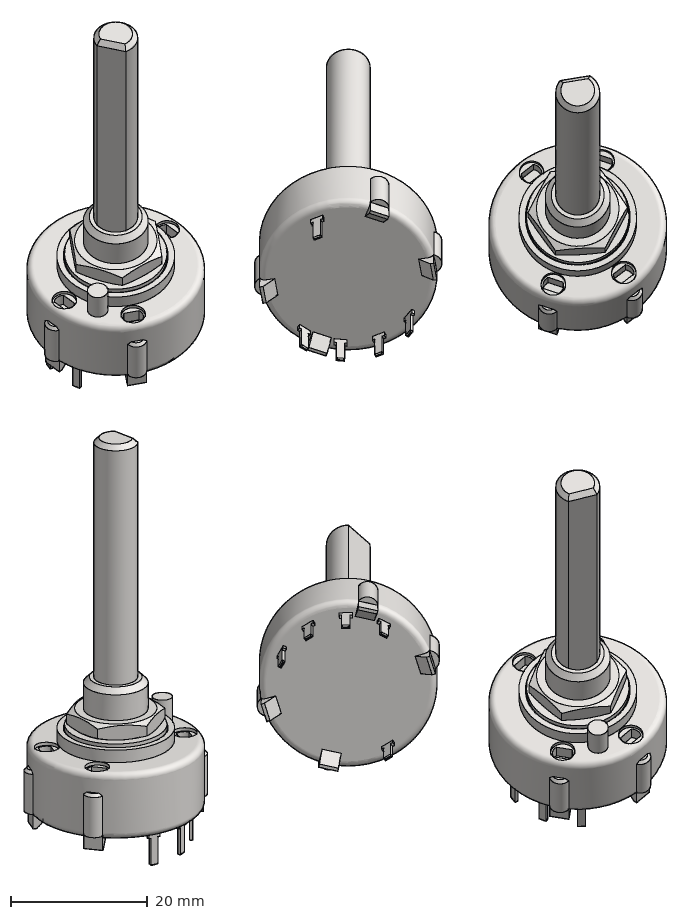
import cadquery as cq
import math


housing_diameter = 26.0
housing_height = 10.45
housing_edge_radius = 1.0
boss_diameter = 17.2
boss_height = 2.0

bushing_diameter = 9.5
bushing_height = 10.0
bushing_chamfer = 0.9

washer_diameter = 15.0
washer_rise = 0.5
washer_recess_diameter = 15.3
washer_recess_depth = 0.25
nut_across_flats = 12.65
nut_thickness = 2.55
nut_turn = -6.6
nut_chamfer_diameter = 12.05
nut_chamfer_height = 0.5

peg_diameter = 3.0
peg_height = 4.0
peg_distance = 9.65

clip_angles = [60, 120, 240, 300]
clip_hole_diameter = 3.6
clip_hole_distance = 10.45
clip_hole_depth = 0.5
clip_slot_end_diameter = 3.0
clip_slot_width = 1.9
clip_slot_depth = 1.9
rib_diameter = 3.2
rib_distance = 12.25
rib_bottom = 0.6
rib_top = 7.4
rib_chamfer = 0.45
leg_width = 2.9
leg_outer_distance = 12.9
leg_length = 1.7
leg_tip_thickness = 0.5
leg_root_thickness = leg_tip_thickness + leg_length + rib_bottom

terminal_angles = [15, 165, 195, 225, 255]
terminal_distance = 11.05
terminal_length = 5.35
terminal_width = 1.2
terminal_thickness = 0.5
terminal_tip_chamfer = 0.2
shoulder_width = 1.9
shoulder_length = 0.95

overall_height = 63.8
shaft_diameter = 6.45
shaft_flat_distance = 2.35
shaft_chamfer = 0.75

boss_top = housing_height + boss_height
washer_top = boss_top + washer_rise
bushing_top = housing_height + bushing_height
shaft_top = overall_height - terminal_length


def cylinder(diameter, bottom, top):
    return cq.Workplane("XY").workplane(offset=bottom).circle(diameter / 2).extrude(top - bottom)


def placed_around(shape, angle):
    """Turn a shape built on the +X side to its angle around the shaft axis."""
    return shape.rotate((0, 0, 0), (0, 0, 1), angle)


def make_case():
    case = cylinder(housing_diameter, 0, housing_height).edges().fillet(housing_edge_radius)
    boss = cylinder(boss_diameter, housing_height - housing_edge_radius, boss_top)
    recess = cylinder(washer_recess_diameter, boss_top - washer_recess_depth, boss_top)
    return case.union(boss).cut(recess)


def make_bushing():
    bushing = cylinder(bushing_diameter, housing_height, bushing_top)
    return bushing.faces(">Z").chamfer(bushing_chamfer)


def make_washer():
    return cylinder(washer_diameter, boss_top - washer_recess_depth, washer_top)


def make_nut():
    corner_diameter = nut_across_flats / math.cos(math.pi / 6)
    hexagon = (
        cq.Workplane("XY")
        .workplane(offset=washer_top)
        .polygon(6, corner_diameter)
        .extrude(nut_thickness)
        .rotate((0, 0, 0), (0, 0, 1), nut_turn)
    )
    corner_chamfer = (corner_diameter - nut_chamfer_diameter) / 2
    envelope = (
        cylinder(corner_diameter, washer_top, washer_top + nut_thickness)
        .edges()
        .chamfer(nut_chamfer_height, corner_chamfer)
    )
    return hexagon.intersect(envelope)


def make_peg():
    peg = cylinder(peg_diameter, housing_height - housing_edge_radius, housing_height + peg_height)
    return peg.translate((0, -peg_distance, 0))


def make_rib():
    rib = cylinder(rib_diameter, rib_bottom, rib_top).faces(">Z").chamfer(rib_chamfer)
    return rib.translate((rib_distance, 0, 0))


def make_leg():
    """Leg below the rib, its inner side sloping out to a thin tip."""
    return (
        cq.Workplane("XZ")
        .moveTo(leg_outer_distance, rib_bottom)
        .lineTo(leg_outer_distance, -leg_length)
        .lineTo(leg_outer_distance - leg_tip_thickness, -leg_length)
        .lineTo(leg_outer_distance - leg_root_thickness, rib_bottom)
        .close()
        .extrude(leg_width / 2, both=True)
    )


def make_clip_hole():
    """Shallow round hole with a deeper two-flat slot in its floor."""
    floor = housing_height - clip_hole_depth
    slot_bottom = floor - clip_slot_depth
    hole = cylinder(clip_hole_diameter, floor, housing_height)
    slot = cylinder(clip_slot_end_diameter, slot_bottom, floor)
    flats = (
        cq.Workplane("XY")
        .workplane(offset=slot_bottom)
        .rect(clip_slot_width, clip_slot_end_diameter)
        .extrude(clip_slot_depth)
    )
    return hole.union(slot.intersect(flats)).translate((clip_hole_distance, 0, 0))


def make_terminal():
    """Flat blade with a wider shoulder at the housing, thin in the radial direction."""
    blade = (
        cq.Workplane("XY")
        .rect(terminal_thickness, terminal_width)
        .extrude(-terminal_length)
        .faces("<Z")
        .chamfer(terminal_tip_chamfer)
    )
    shoulder = (
        cq.Workplane("XY")
        .workplane(offset=-shoulder_length)
        .rect(terminal_thickness, shoulder_width)
        .extrude(shoulder_length + housing_edge_radius)
    )
    return blade.union(shoulder).translate((terminal_distance, 0, 0))


def make_switch_body():
    """Housing with its fixed fittings, bored for the shaft."""
    body = make_case()
    for fitting in [make_washer(), make_bushing(), make_nut(), make_peg()]:
        body = body.union(fitting)
    body = body.cut(cylinder(shaft_diameter, housing_height, bushing_top))
    for angle in clip_angles:
        body = body.union(placed_around(make_rib(), angle))
        body = body.union(placed_around(make_leg(), angle))
        body = body.cut(placed_around(make_clip_hole(), angle))
    for angle in terminal_angles:
        body = body.union(placed_around(make_terminal(), angle))
    return body


def make_shaft():
    """Round bar filling the bushing bore except along its flat, chamfered all round at the top."""
    flat_cutter = (
        cq.Workplane("XY")
        .workplane(offset=housing_height)
        .center(0, -shaft_flat_distance - shaft_diameter / 2)
        .rect(shaft_diameter, shaft_diameter)
        .extrude(shaft_top - housing_height)
    )
    bar = cylinder(shaft_diameter, housing_height, shaft_top).cut(flat_cutter)
    return bar.faces(">Z").chamfer(shaft_chamfer)


switch_body = make_switch_body()
shaft = make_shaft()

result = cq.Compound.makeCompound([switch_body.val(), shaft.val()])